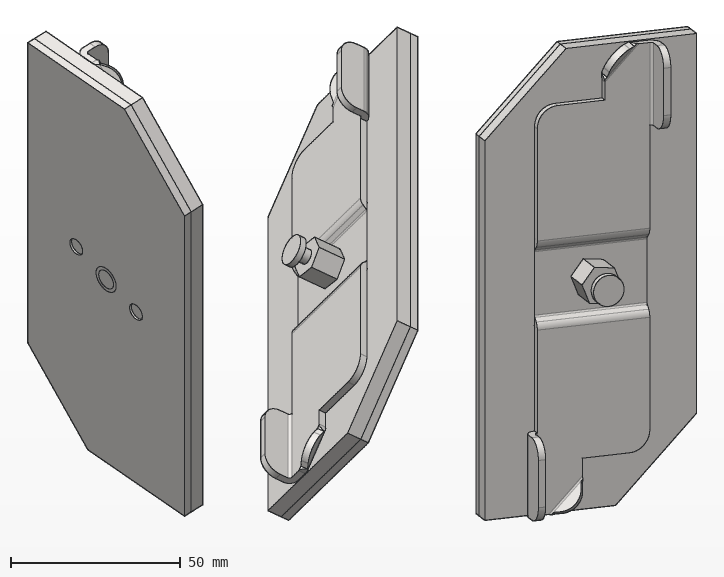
import cadquery as cq
import math


PLATE_WIDTH = 66.7
PLATE_HEIGHT = 142.5
CORNER_CUT = 25.6
FRONT_THICK = 2.7
BACK_THICK = 4.7
PLATES_TOP = FRONT_THICK + BACK_THICK

RECESS_DIA = 5.5
RECESS_DEPTH = 0.7
RECESS_X = 12.7
RECESS_Z = 4.7

HEX_FLATS = 11.0
HEX_TURN = -22
HEX_TOP = 16.6
SLEEVE_DIA = 8.6

SHANK_DIA = 6.3
NECK_DIA = 4.7
HEAD_DIA = 9.6
HEAD_THICK = 2.0
PIN_TOP = 22.1

SHEET = 2.3
BEND_INNER = 0.9
BEND_OUTER = BEND_INNER + SHEET
WING_HALF_WIDTH = 17.7
WING_START_Z = 13.7
STEP_ANGLE = 45
SHOULDER_Z = 54.7
WING_TOP_Z = 70.9
TONGUE_X = -3.6
CORNER_RADIUS = 6.5
FLANGE_BOTTOM_Z = 45.5
FLANGE_TOP_Y = 18.7
FLANGE_RADIUS = 5.5
EAR_LEG = 10.6
EAR_ANGLE = 45
EAR_TIP_Z = 71.5


def face_at(y):
    """Workplane parallel to XZ: local x is X, local y is Z, negative extrusion goes +Y."""
    return cq.Workplane("XZ", origin=(0, y, 0))


def cylinder(dia, y_start, y_end, spots=((0, 0),)):
    """Cylinders along Y at the given (X, Z) spots, by default on the Y axis."""
    return face_at(y_start).pushPoints(spots).circle(dia / 2).extrude(y_start - y_end)


def block(x_half, z_half, y_start, y_end):
    """Box centred on the Y axis, given by its half sizes along X and Z."""
    return face_at(y_start).rect(2 * x_half, 2 * z_half).extrude(y_start - y_end)


def half_turn(body):
    return body.rotate((0, 0, 0), (0, 1, 0), 180)


def plate(y_start, y_end):
    """Rectangle with the upper right and lower left corners cut at 45 degrees."""
    x, z = PLATE_WIDTH / 2, PLATE_HEIGHT / 2
    outline = [
        (-x, z), (x - CORNER_CUT, z), (x, z - CORNER_CUT),
        (x, -z), (-x + CORNER_CUT, -z), (-x, -z + CORNER_CUT),
    ]
    return face_at(y_start).polyline(outline).close().extrude(y_start - y_end)


def make_front_plate():
    body = plate(0, FRONT_THICK)
    body = body.cut(cylinder(SLEEVE_DIA, 0, FRONT_THICK))
    recess_spots = [(-RECESS_X, RECESS_Z), (RECESS_X, -RECESS_Z)]
    return body.cut(cylinder(RECESS_DIA, 0, RECESS_DEPTH, recess_spots))


def make_back_plate(bracket):
    """Plate with a recess that the stepped-down middle of the bracket lies in."""
    body = plate(FRONT_THICK, PLATES_TOP).cut(bracket)
    return body.cut(cylinder(SLEEVE_DIA, FRONT_THICK, PLATES_TOP))


def make_bushing():
    """Hexagon on the back plate with a sleeve through both plates, bored for the pin."""
    hexagon = face_at(PLATES_TOP).transformed(rotate=(0, 0, HEX_TURN))
    body = hexagon.polygon(6, HEX_FLATS, circumscribed=True).extrude(PLATES_TOP - HEX_TOP)
    body = body.union(cylinder(SLEEVE_DIA, 0, PLATES_TOP))
    body = body.cut(cylinder(SHANK_DIA, 0, PLATES_TOP))
    return body.cut(cylinder(NECK_DIA, PLATES_TOP, HEX_TOP))


def make_pin():
    """Wide shank held in the sleeve, narrow neck through the hexagon and a flat head."""
    shank = cylinder(SHANK_DIA, 0, PLATES_TOP)
    neck = cylinder(NECK_DIA, PLATES_TOP, PIN_TOP)
    head = cylinder(HEAD_DIA, PIN_TOP - HEAD_THICK, PIN_TOP)
    return shank.union(neck).union(head)


def bend(frame, length, angle):
    """Bent sheet: local x leaves the flat sheet, local y is the side it bends towards."""
    def on_arc(radius, turn):
        a = math.radians(turn)
        return radius * math.sin(a), BEND_OUTER - radius * math.cos(a)

    return (
        cq.Workplane(frame)
        .moveTo(0, 0)
        .threePointArc(on_arc(BEND_OUTER, angle / 2), on_arc(BEND_OUTER, angle))
        .lineTo(*on_arc(BEND_INNER, angle))
        .threePointArc(on_arc(BEND_INNER, angle / 2), (0, SHEET))
        .close()
        .extrude(length)
    )


def wing_sheet():
    """Flat part of one wing, with the ear corner left off along its bend line."""
    outline = [
        (-WING_HALF_WIDTH, WING_START_Z), (WING_HALF_WIDTH, WING_START_Z),
        (WING_HALF_WIDTH, SHOULDER_Z), (TONGUE_X, SHOULDER_Z),
        (TONGUE_X, WING_TOP_Z - EAR_LEG), (TONGUE_X - EAR_LEG, WING_TOP_Z),
        (-WING_HALF_WIDTH, WING_TOP_Z),
    ]
    sheet = face_at(PLATES_TOP).polyline(outline).close().extrude(-SHEET)
    shoulder = cq.selectors.NearestToPointSelector((WING_HALF_WIDTH, PLATES_TOP, SHOULDER_Z))
    return sheet.edges("|Y").edges(shoulder).fillet(CORNER_RADIUS)


def side_flange():
    """Upright flange along the outer side of the wing, with two rounded corners."""
    height = WING_TOP_Z - FLANGE_BOTTOM_Z
    root = (-WING_HALF_WIDTH, PLATES_TOP, FLANGE_BOTTOM_Z)
    frame = cq.Plane(origin=root, xDir=(-1, 0, 0), normal=(0, 0, -1))
    curve = bend(frame, -height, 90)
    upright = (
        cq.Workplane("XY", origin=(-WING_HALF_WIDTH - BEND_OUTER, PLATES_TOP + BEND_OUTER, FLANGE_BOTTOM_Z))
        .box(SHEET, FLANGE_TOP_Y - PLATES_TOP - BEND_OUTER, height, centered=False)
        .edges("|X and >Y")
        .fillet(FLANGE_RADIUS)
    )
    return curve.union(upright)


def ear():
    """Rounded corner of the tongue, bent up about a 45 degree line."""
    angle = math.radians(EAR_ANGLE)
    diagonal = math.sqrt(0.5)
    bend_length = EAR_LEG / diagonal
    bend_reach = BEND_OUTER * math.sin(angle)
    narrowing = bend_reach - (EAR_TIP_Z - WING_TOP_Z) / diagonal
    flap_length = bend_length - 2 * narrowing

    root = cq.Vector(TONGUE_X - EAR_LEG, PLATES_TOP, WING_TOP_Z)
    along = cq.Vector(diagonal, 0, -diagonal)
    outward = cq.Vector(diagonal, 0, diagonal)
    rise = cq.Vector(0, 1, 0)

    curve = bend(cq.Plane(origin=root, xDir=outward, normal=along * -1), -bend_length, EAR_ANGLE)
    slanted_ends = (
        cq.Workplane(cq.Plane(origin=root, xDir=along, normal=rise * -1))
        .polyline([
            (0, 0), (bend_length, 0),
            (bend_length - narrowing, bend_reach), (narrowing, bend_reach),
        ])
        .close()
        .extrude(-BEND_OUTER)
    )
    curve = curve.intersect(slanted_ends)

    flap_rise = BEND_OUTER * (1 - math.cos(angle))
    flap_root = root + along * narrowing + outward * bend_reach + rise * flap_rise
    flap_out = outward * math.cos(angle) + rise * math.sin(angle)
    corner = flap_root + (along + flap_out) * (flap_length / 2)
    flap = (
        cq.Workplane(cq.Plane(origin=flap_root, xDir=along, normal=along.cross(flap_out)))
        .polyline([(0, 0), (flap_length, 0), (flap_length / 2, flap_length / 2)])
        .close()
        .extrude(-SHEET)
        .edges(cq.selectors.NearestToPointSelector(corner.toTuple()))
        .fillet(CORNER_RADIUS)
    )
    return curve.union(flap)


def step_size():
    """Length and straight slope length of the step that lowers the sheet by its own thickness."""
    angle = math.radians(STEP_ANGLE)
    bend_middle = BEND_INNER + SHEET / 2
    slope = (SHEET - 2 * bend_middle * (1 - math.cos(angle))) / math.sin(angle)
    return 2 * bend_middle * math.sin(angle) + slope * math.cos(angle), slope


def step():
    """Two opposite bends and a slope between them; half a turn maps each half onto the other."""
    width = 2 * WING_HALF_WIDTH
    angle = math.radians(STEP_ANGLE)
    length, slope = step_size()
    root = (-WING_HALF_WIDTH, PLATES_TOP + SHEET, WING_START_Z)
    frame = cq.Plane(origin=root, xDir=(0, 0, -1), normal=(-1, 0, 0))
    slope_start = (BEND_OUTER * math.sin(angle), BEND_OUTER * (1 - math.cos(angle)))
    half_slope = (
        cq.Workplane(frame)
        .moveTo(*slope_start)
        .line(slope / 2 * math.cos(angle), slope / 2 * math.sin(angle))
        .line(-SHEET * math.sin(angle), SHEET * math.cos(angle))
        .line(-slope / 2 * math.cos(angle), -slope / 2 * math.sin(angle))
        .close()
        .extrude(-width)
    )
    half = bend(frame, -width, STEP_ANGLE).union(half_slope)
    middle_z = WING_START_Z - length / 2
    return half.union(half.rotate((0, PLATES_TOP, middle_z), (1, PLATES_TOP, middle_z), 180))


def make_bracket():
    """Two opposite wings joined by a strip that lies flush in the back plate."""
    wing = wing_sheet().union(side_flange()).union(ear()).union(step())
    strip = block(WING_HALF_WIDTH, WING_START_Z - step_size()[0], PLATES_TOP - SHEET, PLATES_TOP)
    body = strip.union(wing).union(half_turn(wing))
    return body.cut(cylinder(SLEEVE_DIA, PLATES_TOP - SHEET, PLATES_TOP))


front_plate = make_front_plate()
bracket = make_bracket()
back_plate = make_back_plate(bracket)
bushing = make_bushing()
pin = make_pin()

result = cq.Compound.makeCompound([
    front_plate.val(),
    back_plate.val(),
    bushing.val(),
    pin.val(),
    bracket.val(),
])